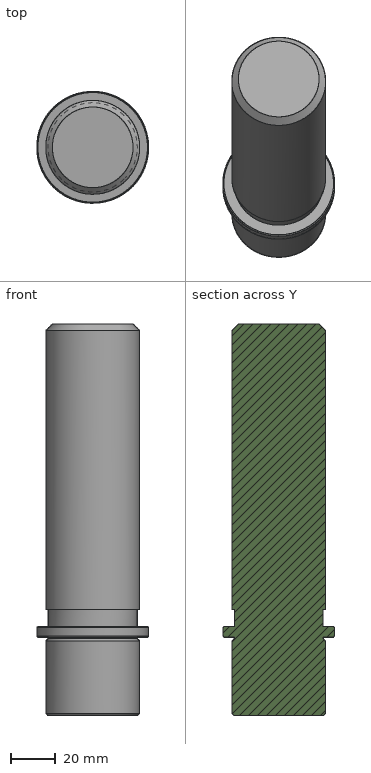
import cadquery as cq

total_height = 175.0
shaft_radius = 21.0

base_top = 34.5
base_chamfer = 1.0

flange_radius = 25.0
flange_bottom = 35.0
flange_top = 39.9
flange_chamfer = 0.5

neck_radius = shaft_radius - base_chamfer
shaft_bottom = 47.5

lead_in_chamfer = 3.0


def cylinder(radius, bottom, top):
    """Solid cylinder on the Z axis between two heights."""
    return cq.Workplane("XY").workplane(offset=bottom).circle(radius).extrude(top - bottom)


base = cylinder(shaft_radius, 0, base_top)
base = base.faces("<Z or >Z").chamfer(base_chamfer)

flange = cylinder(flange_radius, flange_bottom, flange_top)
flange = flange.faces("<Z or >Z").chamfer(flange_chamfer)

neck = cylinder(neck_radius, base_top, shaft_bottom)

shaft = cylinder(shaft_radius, shaft_bottom, total_height)
shaft = shaft.faces(">Z").chamfer(lead_in_chamfer)

result = base.union(neck).union(flange).union(shaft)